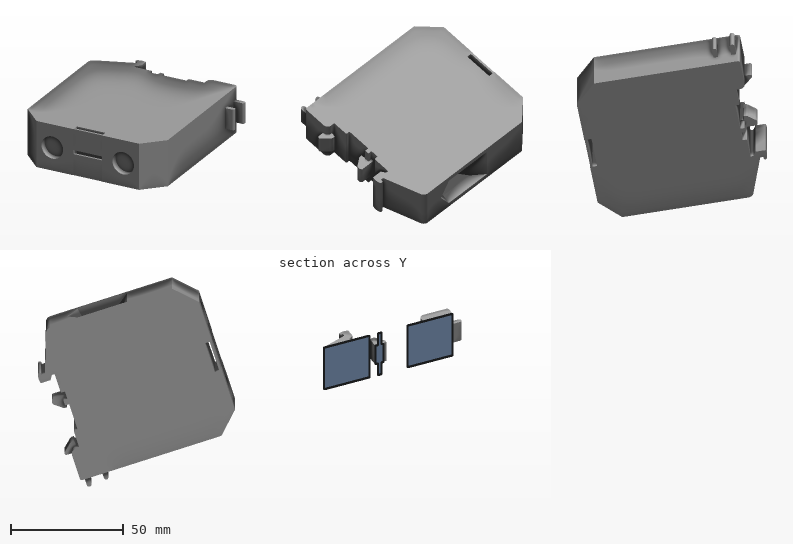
import cadquery as cq
import math

body_width = 70.3
body_height = 22.5
front_chamfer = 9.4
center_x = body_width / 2

overall_depth = 78.3
shoulder_y = 75.0
rail_seat_y = 70.9
rail_groove_y = 69.0
slope_angle = 19.6
slope_fillet = 2.75

hook_left = 19.5
hook_right = 22.8
hook_neck_x = 20.75
hook_tip_x = 18.1
hook_underside_y = 76.4
hook_edge_y = 78.0
hook_tip_top_radius = 0.9
hook_tip_bottom_radius = 0.6
hook_bevel_top_y = 73.45
hook_bevel_bottom_y = 72.1

groove_left = 29.7
groove_right = 48.0
groove_edge_fillet = 0.4
tooth_left = 33.7
tooth_right = 35.7
shoulder_left = 55.9
shoulder_left_fillet = 2.35
shoulder_right_fillet = 1.0

inner_layer_height = 10.0
root_overlap = 0.8
pins = [
    {"tip_x": 75.5, "center_y": 72.35, "thickness": 2.2},
    {"tip_x": 74.8, "center_y": 64.2, "thickness": 1.95},
]
pin_tip_flat = 0.1

recess_diameter = 10.8
recess_offset = 17.8
recess_depth = 3.1

strip_width = 14.25
strip_setback = 0.15
strip_back_y = 1.1
strip_slot_back_y = 3.2
strip_slit_height = 1.9

pocket_depth = 8.1
pocket_straight_depth = 4.7
pocket_half_height = 8.6
pocket_floor_half_height = 6.4
pocket_front_y = 30.4
pocket_floor_front_y = 41.0
pocket_shoulder_y = 53.4
pocket_tip_y = 58.25
pocket_tip_inset = 1.6


def layer(outline, height):
    """Extrude a closed XY outline by the given height, centred on Z = 0."""
    return outline.close().extrude(height / 2, both=True)


def round_corner(solid, x, y, radius):
    """Fillet the vertical edge that stands at (x, y)."""
    corner = cq.selectors.BoxSelector((x - 0.04, y - 0.04, -0.8), (x + 0.04, y + 0.04, 0.8))
    return solid.edges(corner).fillet(radius)


def make_housing():
    slope_left_y = shoulder_y - hook_left * math.tan(math.radians(slope_angle))
    hook_arc_left = hook_tip_x + hook_tip_top_radius
    outline = (
        cq.Workplane("XY")
        .moveTo(front_chamfer, 0)
        .lineTo(body_width - front_chamfer, 0)
        .lineTo(body_width, front_chamfer)
        .lineTo(body_width, shoulder_y)
        .lineTo(shoulder_left, shoulder_y)
        .lineTo(shoulder_left, rail_seat_y)
        .lineTo(groove_right, rail_seat_y)
        .lineTo(groove_right, rail_groove_y)
        .lineTo(tooth_right, rail_groove_y)
        .lineTo(tooth_right, rail_seat_y)
        .lineTo(tooth_left, rail_seat_y)
        .lineTo(tooth_left, rail_groove_y)
        .lineTo(groove_left, rail_groove_y)
        .lineTo(groove_left, rail_seat_y)
        .lineTo(hook_neck_x, rail_seat_y)
        .lineTo(hook_neck_x, hook_bevel_bottom_y)
        .lineTo(hook_right, hook_bevel_top_y)
        .lineTo(hook_right, hook_edge_y)
        .threePointArc(((hook_arc_left + hook_right) / 2, overall_depth), (hook_arc_left, hook_edge_y))
        .radiusArc((hook_tip_x, hook_edge_y - hook_tip_top_radius), -hook_tip_top_radius)
        .lineTo(hook_tip_x, hook_underside_y + hook_tip_bottom_radius)
        .radiusArc((hook_tip_x + hook_tip_bottom_radius, hook_underside_y), -hook_tip_bottom_radius)
        .lineTo(hook_left, hook_underside_y)
        .lineTo(hook_left, shoulder_y)
        .lineTo(0, slope_left_y)
        .lineTo(0, front_chamfer)
    )
    housing = layer(outline, body_height)
    housing = round_corner(housing, 0, slope_left_y, slope_fillet)
    housing = round_corner(housing, shoulder_left, shoulder_y, shoulder_left_fillet)
    housing = round_corner(housing, body_width, shoulder_y, shoulder_right_fillet)
    for edge_x in (groove_left, groove_right):
        housing = round_corner(housing, edge_x, rail_seat_y, groove_edge_fillet)
    return housing


def make_center_clip():
    """Barbed clip that rises from the rail groove around the tooth."""
    left = 32.4
    stem_right = 36.25
    undercut_right = 36.95
    barb_x = 38.1
    root_y = rail_groove_y - root_overlap
    undercut_y = 70.4
    crown_left = (left, 75.6)
    crown_top = (34.05, 76.4)
    crown_right = (35.7, 75.25)
    barb_round_start = (37.4, 73.05)
    barb_round_middle = (37.9, 72.5)
    barb_round_end = (barb_x, 71.9)
    outline = (
        cq.Workplane("XY")
        .moveTo(left, root_y)
        .lineTo(*crown_left)
        .threePointArc(crown_top, crown_right)
        .lineTo(*barb_round_start)
        .threePointArc(barb_round_middle, barb_round_end)
        .lineTo(barb_x, rail_seat_y)
        .lineTo(undercut_right, rail_seat_y)
        .lineTo(stem_right, undercut_y)
        .lineTo(stem_right, root_y)
    )
    return layer(outline, inner_layer_height)


def make_right_clip():
    """Slanted clip that leans out over the rail seat from the right shoulder."""
    right = 58.65
    nose_x = 53.6
    underside_y = 72.3
    root_x = shoulder_left + root_overlap
    root_y = shoulder_y - root_overlap
    peak_right = (right, 77.75)
    peak_top = (57.8, overall_depth)
    peak_left = (56.9, 77.75)
    nose_round_start = (54.4, 74.9)
    nose_round_middle = (53.9, 74.3)
    nose_round_end = (nose_x, 73.6)
    nose_bottom = (nose_x, 72.75)
    underside_left = (55.4, underside_y)
    outline = (
        cq.Workplane("XY")
        .moveTo(right, root_y)
        .lineTo(*peak_right)
        .threePointArc(peak_top, peak_left)
        .lineTo(*nose_round_start)
        .threePointArc(nose_round_middle, nose_round_end)
        .lineTo(*nose_bottom)
        .lineTo(*underside_left)
        .lineTo(root_x, underside_y)
        .lineTo(root_x, root_y)
    )
    return layer(outline, inner_layer_height)


def make_pin(tip_x, center_y, thickness):
    """Flat contact pin whose rounded corners leave a narrow flat at the tip."""
    half = thickness / 2
    half_flat = pin_tip_flat / 2
    corner_radius = half - half_flat
    corner_x = tip_x - corner_radius
    root_x = body_width - root_overlap
    outline = (
        cq.Workplane("XY")
        .moveTo(root_x, center_y - half)
        .lineTo(corner_x, center_y - half)
        .radiusArc((tip_x, center_y - half_flat), -corner_radius)
        .lineTo(tip_x, center_y + half_flat)
        .radiusArc((corner_x, center_y + half), -corner_radius)
        .lineTo(root_x, center_y + half)
    )
    return layer(outline, inner_layer_height)


def make_recesses():
    return (
        cq.Workplane("XZ")
        .pushPoints([(center_x - recess_offset, 0), (center_x + recess_offset, 0)])
        .circle(recess_diameter / 2)
        .extrude(-recess_depth)
    )


def make_strip_cut():
    """Setback of the strip, the slot behind it and the slit across it."""

    def cut_box(start_y, end_y, height):
        middle_y = (start_y + end_y) / 2
        return cq.Workplane(origin=(center_x, middle_y, 0)).box(strip_width, end_y - start_y, height)

    setback = cut_box(0, strip_setback, body_height)
    slot = cut_box(strip_back_y, strip_slot_back_y, body_height)
    slit = cut_box(0, strip_slot_back_y, strip_slit_height)
    return setback.union(slot).union(slit)


def make_pocket():
    """Pointed pocket, built as the overlap of two solids.

    The loft carries the sloped front wall and the leaning walls of the point.
    The prism carries the top and bottom walls, which taper towards the floor.
    """

    def pentagon(x, front_y, inset):
        shoulder = pocket_shoulder_y - inset
        corners = [
            cq.Vector(x, front_y, -pocket_half_height),
            cq.Vector(x, shoulder, -pocket_half_height),
            cq.Vector(x, pocket_tip_y - inset, 0),
            cq.Vector(x, shoulder, pocket_half_height),
            cq.Vector(x, front_y, pocket_half_height),
        ]
        return cq.Wire.makePolygon(corners, close=True)

    mouth = pentagon(0, pocket_front_y, 0)
    floor = pentagon(pocket_depth, pocket_floor_front_y, pocket_tip_inset)
    pointed = cq.Workplane(obj=cq.Solid.makeLoft([mouth, floor], True))
    tapered = (
        cq.Workplane("XZ")
        .moveTo(0, -pocket_half_height)
        .lineTo(pocket_straight_depth, -pocket_half_height)
        .lineTo(pocket_depth, -pocket_floor_half_height)
        .lineTo(pocket_depth, pocket_floor_half_height)
        .lineTo(pocket_straight_depth, pocket_half_height)
        .lineTo(0, pocket_half_height)
        .close()
        .extrude(-overall_depth)
    )
    return pointed.intersect(tapered)


result = make_housing().union(make_center_clip()).union(make_right_clip())
for pin in pins:
    result = result.union(make_pin(**pin))
for cutter in (make_recesses(), make_strip_cut(), make_pocket()):
    result = result.cut(cutter)